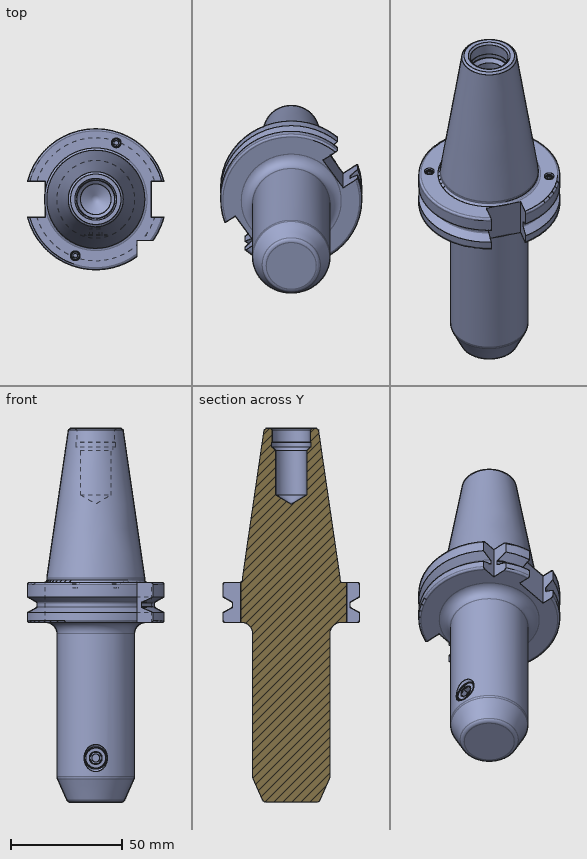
import cadquery as cq
import math


chamfer_angle = 45
hexagon_sides = 6

gauge_radius = 44.45 / 2
taper_slope = 7 / 48
taper_top_z = 68.4
taper_end_z = 1.0
top_chamfer = 0.9
collar_fillet = 1.0

flange_radius = 63.55 / 2
flange_top_z = -1.0
flange_bottom_z = -19.1
flange_round = 1.0
groove_center_z = -11.1
groove_width = 7.0
groove_floor_radius = 27.7
groove_corner_round = 0.5
groove_half_angle = 30

slot_width = 16.1
left_slot_floor = 22.8
right_slot_floor = 25.0
notch_offset = 18.6

shank_radius = 35 / 2
shank_bottom_z = -100.0
neck_fillet = 5.0
nose_length = 11.1
nose_half_angle = 24
nose_shoulder_round = 2.5
nose_end_round = 2.0

bore_mouth_radius = 9.4
bore_radius = 8.5
bore_depth = 8.5
undercut_start_depth = 6.2
undercut_step = 0.3
core_radius = 6.9
core_depth = 30.0
bore_mouth_chamfer = bore_mouth_radius - bore_radius
bore_step = bore_radius - core_radius
drill_tip_half_angle = 59

coolant_circle_radius = 27.0
coolant_mouth_radius = 2.2
coolant_hole_radius = 1.7
coolant_screw_recess = 1.0
coolant_socket_across_flats = 2.0
coolant_socket_depth = 1.5
coolant_angles = (70, 250)

screw_z = shank_bottom_z + 20
screw_radius = 5.0
screw_recess = 1.2
screw_edge_chamfer = 0.5
screw_mouth_radius = 6.1
socket_across_flats = 5.0
socket_mouth_radius = 2.9
socket_depth = 3.0
corner_up_angle = 30
socket_drill_radius = 1.8
socket_drill_depth = 3.5


def tangent(degrees):
    return math.tan(math.radians(degrees))


def taper_radius(z):
    return gauge_radius - taper_slope * z


def revolve_about_z(profile):
    return profile.revolve(360, (0, 0, 0), (0, 1, 0))


def make_taper():
    collar_radius = taper_radius(taper_end_z)
    profile = (
        cq.Workplane("XZ")
        .moveTo(0, taper_top_z)
        .lineTo(taper_radius(taper_top_z) - top_chamfer, taper_top_z)
        .lineTo(taper_radius(taper_top_z - top_chamfer), taper_top_z - top_chamfer)
        .lineTo(collar_radius, taper_end_z)
        .lineTo(collar_radius, flange_top_z + collar_fillet)
        .radiusArc((collar_radius + collar_fillet, flange_top_z), -collar_fillet)
        .lineTo(collar_radius, flange_bottom_z)
        .lineTo(0, flange_bottom_z)
        .close()
    )
    return revolve_about_z(profile)


def make_flange():
    flange = (
        cq.Workplane("XY", origin=(0, 0, flange_bottom_z))
        .circle(flange_radius)
        .extrude(flange_top_z - flange_bottom_z)
        .edges()
        .fillet(flange_round)
    )
    rim_half = groove_width / 2
    floor_half = rim_half - (flange_radius - groove_floor_radius) * tangent(groove_half_angle)
    groove_profile = (
        cq.Workplane("XZ")
        .moveTo(flange_radius, groove_center_z + rim_half)
        .lineTo(groove_floor_radius, groove_center_z + floor_half)
        .lineTo(groove_floor_radius, groove_center_z - floor_half)
        .lineTo(flange_radius, groove_center_z - rim_half)
        .close()
    )
    groove = revolve_about_z(groove_profile)
    floor = cq.selectors.RadiusNthSelector(0)
    groove = groove.edges(floor).fillet(groove_corner_round)
    return flange.cut(groove)


def make_shank():
    nose_radius = shank_radius - nose_length * tangent(nose_half_angle)
    shoulder_z = shank_bottom_z + nose_length
    body_profile = (
        cq.Workplane("XZ")
        .moveTo(0, flange_bottom_z)
        .lineTo(shank_radius, flange_bottom_z)
        .lineTo(shank_radius, shoulder_z)
        .lineTo(nose_radius, shank_bottom_z)
        .lineTo(0, shank_bottom_z)
        .close()
    )
    body = revolve_about_z(body_profile)
    body = body.faces("<Z").edges().fillet(nose_end_round)
    body = body.faces("%CONE").edges(">Z").fillet(nose_shoulder_round)
    neck_profile = (
        cq.Workplane("XZ")
        .moveTo(0, flange_bottom_z)
        .lineTo(shank_radius + neck_fillet, flange_bottom_z)
        .radiusArc((shank_radius, flange_bottom_z - neck_fillet), -neck_fillet)
        .lineTo(0, flange_bottom_z - neck_fillet)
        .close()
    )
    neck = revolve_about_z(neck_profile)
    return body.union(neck)


def block(x_min, x_max, y_min, y_max):
    height = flange_top_z - flange_bottom_z
    center = ((x_min + x_max) / 2, (y_min + y_max) / 2, flange_bottom_z)
    return (
        cq.Workplane("XY", origin=center)
        .rect(x_max - x_min, y_max - y_min)
        .extrude(height)
    )


def flange_cutouts():
    half = slot_width / 2
    reach = flange_radius + 1
    left = block(-reach, -left_slot_floor, -half, half)
    right = block(right_slot_floor, reach, -half, half)
    notch = block(notch_offset, reach, -reach, -notch_offset)
    return left.union(right).union(notch)


def top_bore():
    undercut_top_z = taper_top_z - undercut_start_depth
    undercut_radius = bore_radius + undercut_step
    core_z = taper_top_z - core_depth
    profile = (
        cq.Workplane("XZ")
        .moveTo(0, taper_top_z)
        .lineTo(bore_mouth_radius, taper_top_z)
        .lineTo(bore_radius, taper_top_z - bore_mouth_chamfer)
        .lineTo(bore_radius, undercut_top_z)
        .lineTo(undercut_radius, undercut_top_z - undercut_step)
        .lineTo(undercut_radius, taper_top_z - bore_depth)
        .lineTo(bore_radius, taper_top_z - bore_depth)
        .lineTo(core_radius, taper_top_z - bore_depth - bore_step)
        .lineTo(core_radius, core_z)
        .lineTo(0, core_z - core_radius / tangent(drill_tip_half_angle))
        .close()
    )
    return revolve_about_z(profile)


def coolant_plugs():
    points = [
        (
            coolant_circle_radius * math.cos(math.radians(angle)),
            coolant_circle_radius * math.sin(math.radians(angle)),
        )
        for angle in coolant_angles
    ]
    face = cq.Workplane("XY", origin=(0, 0, flange_top_z)).pushPoints(points)
    hole = face.circle(coolant_hole_radius).extrude(-coolant_screw_recess)
    mouth_depth = coolant_mouth_radius - coolant_hole_radius
    mouth = face.circle(coolant_mouth_radius).extrude(-mouth_depth, taper=chamfer_angle)
    socket = (
        cq.Workplane("XY", origin=(0, 0, flange_top_z - coolant_screw_recess))
        .pushPoints(points)
        .polygon(hexagon_sides, coolant_socket_across_flats, circumscribed=True)
        .extrude(-coolant_socket_depth)
    )
    return hole.union(mouth).union(socket)


def clamping_screw_recess():
    mouth_plane = cq.Workplane("XZ", origin=(0, -shank_radius, screw_z))
    mouth_depth = screw_mouth_radius - screw_radius
    mouth = mouth_plane.circle(screw_mouth_radius).extrude(-mouth_depth, taper=chamfer_angle)
    recess = mouth_plane.circle(screw_radius).extrude(-screw_recess - screw_edge_chamfer)
    face_plane = cq.Workplane("XZ", origin=(0, screw_recess - shank_radius, screw_z))
    screw_end = (
        cq.Workplane("XZ", origin=(0, screw_recess + screw_edge_chamfer - shank_radius, screw_z))
        .circle(screw_radius)
        .extrude(screw_edge_chamfer, taper=chamfer_angle)
    )
    hexagon = (
        face_plane.transformed(rotate=(0, 0, corner_up_angle))
        .polygon(hexagon_sides, socket_across_flats, circumscribed=True)
        .extrude(-socket_depth)
    )
    socket_mouth_depth = socket_mouth_radius - socket_across_flats / 2
    socket_mouth = face_plane.circle(socket_mouth_radius).extrude(-socket_mouth_depth, taper=chamfer_angle)
    drill = face_plane.circle(socket_drill_radius).extrude(-socket_drill_depth)
    socket = hexagon.union(socket_mouth).union(drill)
    return recess.cut(screw_end).union(mouth).union(socket)


result = (
    make_flange()
    .union(make_taper())
    .cut(flange_cutouts())
    .union(make_shank())
    .cut(top_bore())
    .cut(coolant_plugs())
    .cut(clamping_screw_recess())
)